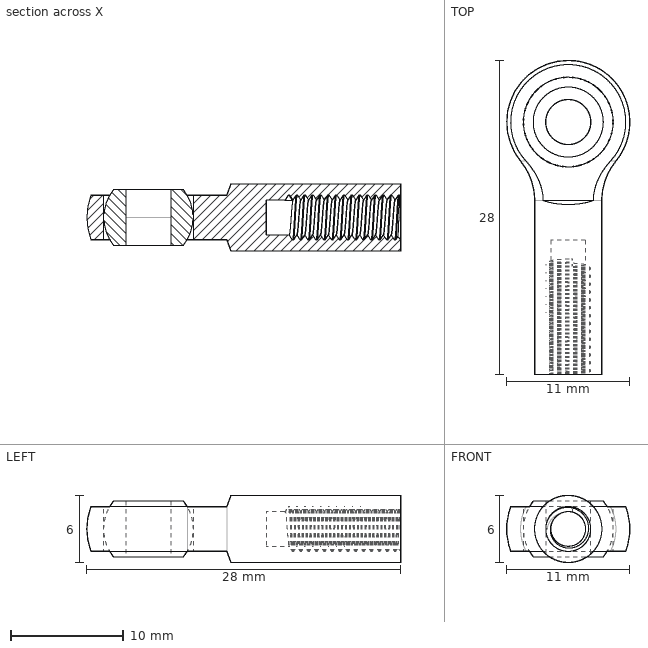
import cadquery as cq
import math


head_radius = 5.5
head_thickness = 4.0
shank_radius = 3.0
shank_end_y = -22.5
neck_blend_radius = 5.5
flat_end_slope = 20.0
cutter_reach = head_radius + 1.0

ball_radius = 4.0
ball_width = 5.0
ball_bore_diameter = 4.0

thread_diameter = 4.0
thread_pitch = 0.7
thread_height = 0.65 * thread_pitch
thread_root_width = thread_pitch / 8
thread_mouth_width = 0.95 * thread_pitch
thread_length = 10.0
bore_diameter = thread_diameter - 2 * thread_height
bore_depth = 12.0
groove_overlap = 0.1

blend_center_x = shank_radius + neck_blend_radius
blend_center_distance = head_radius + neck_blend_radius
blend_center_y = -math.sqrt(blend_center_distance**2 - blend_center_x**2)
blend_middle_angle = (math.pi + math.atan2(-blend_center_y, -blend_center_x)) / 2


def make_blank():
    """Spherical head, concave neck and round shank, turned about the Y axis."""
    head_share = head_radius / blend_center_distance
    head_tangent = (blend_center_x * head_share, blend_center_y * head_share)
    blend_middle = (
        blend_center_x + neck_blend_radius * math.cos(blend_middle_angle),
        blend_center_y + neck_blend_radius * math.sin(blend_middle_angle),
    )
    return (
        cq.Workplane("XY")
        .moveTo(0, head_radius)
        .threePointArc((head_radius, 0), head_tangent)
        .threePointArc(blend_middle, (shank_radius, blend_center_y))
        .lineTo(shank_radius, shank_end_y)
        .lineTo(0, shank_end_y)
        .close()
        .revolve(360, (0, 0, 0), (0, 1, 0))
    )


def make_flat_cutter(side):
    """Block above (side 1) or below (side -1) the head, with a sloping end at the shank."""
    inner_z = head_thickness / 2
    outer_z = cutter_reach
    slope_run = (outer_z - inner_z) * math.tan(math.radians(flat_end_slope))
    return (
        cq.Workplane("YZ")
        .moveTo(cutter_reach, side * inner_z)
        .lineTo(blend_center_y, side * inner_z)
        .lineTo(blend_center_y - slope_run, side * outer_z)
        .lineTo(cutter_reach, side * outer_z)
        .close()
        .extrude(cutter_reach, both=True)
    )


def make_bore_cutter():
    """Blind bore with a 45 degree countersink that opens to the thread diameter."""
    bore_radius = bore_diameter / 2
    bore_end_y = shank_end_y + bore_depth
    return (
        cq.Workplane("XY")
        .moveTo(0, shank_end_y)
        .lineTo(thread_diameter / 2, shank_end_y)
        .lineTo(bore_radius, shank_end_y + thread_height)
        .lineTo(bore_radius, bore_end_y)
        .lineTo(0, bore_end_y)
        .close()
        .revolve(360, (0, 0, 0), (0, 1, 0))
    )


def make_thread_groove():
    """Right-hand helical groove that starts at the shank face on the -X side."""
    bore_radius = bore_diameter / 2
    root_radius = thread_diameter / 2
    inner_radius = bore_radius - groove_overlap
    profile = [
        (inner_radius, -thread_mouth_width / 2),
        (bore_radius, -thread_mouth_width / 2),
        (root_radius, -thread_root_width / 2),
        (root_radius, thread_root_width / 2),
        (bore_radius, thread_mouth_width / 2),
        (inner_radius, thread_mouth_width / 2),
    ]
    helices = [
        cq.Wire.makeHelix(thread_pitch, thread_length, radius, cq.Vector(0, 0, height))
        for radius, height in profile
    ]
    neighbours = helices[1:] + helices[:1]
    faces = [cq.Face.makeRuledSurface(*pair) for pair in zip(helices, neighbours)]
    for end_points in (
        [helix.startPoint() for helix in helices],
        [helix.endPoint() for helix in helices],
    ):
        faces.append(cq.Face.makeFromWires(cq.Wire.makePolygon(end_points, close=True)))
    groove = cq.Solid.makeSolid(cq.Shell.makeShell(faces)).fix()
    along_shank = (
        cq.Workplane(obj=groove)
        .rotate((0, 0, 0), (0, 0, 1), 180)
        .rotate((0, 0, 0), (1, 0, 0), -90)
    )
    return along_shank.translate((0, shank_end_y, 0))


def make_housing():
    housing = make_blank()
    for side in (1, -1):
        housing = housing.cut(make_flat_cutter(side))
    eye = cq.Workplane("XY").circle(ball_radius).extrude(head_thickness, both=True)
    return housing.cut(eye).cut(make_bore_cutter()).cut(make_thread_groove())


def make_ball():
    """Sphere with flat faces and a through hole; its equator touches the eye wall."""
    width_limit = cq.Workplane("XY").circle(ball_radius).extrude(ball_width / 2, both=True)
    hole = cq.Workplane("XY").circle(ball_bore_diameter / 2).extrude(ball_width, both=True)
    return cq.Workplane("XY").sphere(ball_radius).intersect(width_limit).cut(hole)


housing = make_housing()
ball = make_ball()

result = cq.Compound.makeCompound([housing.solids().val(), ball.solids().val()])